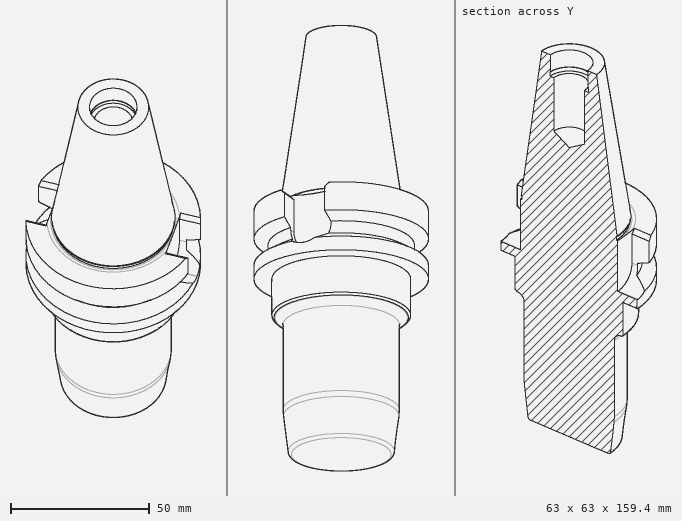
import cadquery as cq
import math

total_height = 159.4
taper_base_z = 94.0
flange_top_z = 93.0
upper_rim_base_z = 82.3
groove_top_z = 79.9
groove_base_z = 75.2
lower_rim_top_z = 72.2
flange_base_z = 67.0
collar_base_z = 52.3
nose_bend_z = 15.8

taper_top_dia = 25.5
taper_base_dia = 44.5
neck_dia = 43.8
relief_dia = 47.8
relief_floor_dia = 45.1
flange_dia = 63.0
groove_dia = 52.8
collar_dia = 50.0
nose_dia = 42.0
nose_end_dia = 38.1

relief_depth = 0.4
collar_edge = 0.8
collar_fillet = 2.9
nose_bend_half_length = 1.1
nose_edge_radius = 1.3

slot_width = 16.1
slot_base_z = 71.0
slot_floor_x = 22.5
slot_corner_radius = 8.0
slot_mouth_chamfer = 1.6

counterbore_dia = 17.0
undercut_start_depth = 7.3
undercut_dia = 17.4
counterbore_depth = 9.1
bore_dia = 14.0
bore_depth = 31.9
drill_tip_angle = 118.0


def make_body():
    """Revolve the half section, listed from the nose end up to the taper."""
    nose_r = nose_dia / 2
    nose_end_r = nose_end_dia / 2
    collar_r = collar_dia / 2
    flange_r = flange_dia / 2
    cone_angle = math.atan2(nose_r - nose_end_r, nose_bend_z)
    bend_start = (
        nose_r - nose_bend_half_length * math.sin(cone_angle),
        nose_bend_z - nose_bend_half_length * math.cos(cone_angle),
    )
    bend_end = (nose_r, nose_bend_z + nose_bend_half_length)

    section = (
        cq.Workplane("XZ")
        .moveTo(0, 0)
        .lineTo(nose_end_r, 0)
        .lineTo(*bend_start)
        .tangentArcPoint(bend_end, relative=False)
        .lineTo(nose_r, collar_base_z - collar_fillet)
        .radiusArc((nose_r + collar_fillet, collar_base_z), collar_fillet)
        .lineTo(collar_r - collar_edge, collar_base_z)
        .lineTo(collar_r, collar_base_z + collar_edge)
        .lineTo(collar_r, flange_base_z)
        .lineTo(flange_r, flange_base_z)
        .lineTo(flange_r, lower_rim_top_z)
        .lineTo(groove_dia / 2, groove_base_z)
        .lineTo(groove_dia / 2, groove_top_z)
        .lineTo(flange_r, upper_rim_base_z)
        .lineTo(flange_r, flange_top_z)
        .lineTo(relief_dia / 2, flange_top_z)
        .lineTo(relief_floor_dia / 2, flange_top_z - relief_depth)
        .lineTo(neck_dia / 2, flange_top_z - relief_depth)
        .lineTo(neck_dia / 2, taper_base_z)
        .lineTo(taper_base_dia / 2, taper_base_z)
        .lineTo(taper_top_dia / 2, total_height)
        .lineTo(0, total_height)
        .close()
    )
    body = section.revolve(360, (0, 0, 0), (0, 1, 0))
    return body.faces("<Z").edges().fillet(nose_edge_radius)


def make_slot(side):
    """Slot cutter with a nearly semicircular end and a bevelled mouth; side is +1 or -1."""
    half_width = slot_width / 2
    mouth_half_width = half_width + slot_mouth_chamfer
    round_centre_z = slot_base_z + slot_corner_radius
    flat_half_width = half_width - slot_corner_radius
    profile = (
        cq.Workplane("YZ", origin=(side * slot_floor_x, 0, 0))
        .moveTo(-half_width, round_centre_z)
        .radiusArc((-flat_half_width, slot_base_z), -slot_corner_radius)
        .lineTo(flat_half_width, slot_base_z)
        .radiusArc((half_width, round_centre_z), -slot_corner_radius)
        .lineTo(half_width, flange_top_z - slot_mouth_chamfer)
        .lineTo(mouth_half_width, flange_top_z)
        .lineTo(mouth_half_width, taper_base_z)
        .lineTo(-mouth_half_width, taper_base_z)
        .lineTo(-mouth_half_width, flange_top_z)
        .lineTo(-half_width, flange_top_z - slot_mouth_chamfer)
        .close()
    )
    return profile.extrude(side * flange_dia / 2)


def make_bore():
    """Counterbore with an undercut, bore and conical drill tip, as one revolved cutter."""
    bore_r = bore_dia / 2
    bore_base_z = total_height - bore_depth
    tip_z = bore_base_z - bore_r / math.tan(math.radians(drill_tip_angle / 2))
    return (
        cq.Workplane("XZ")
        .moveTo(0, tip_z)
        .lineTo(bore_r, bore_base_z)
        .lineTo(bore_r, total_height - counterbore_depth)
        .lineTo(undercut_dia / 2, total_height - counterbore_depth)
        .lineTo(undercut_dia / 2, total_height - undercut_start_depth)
        .lineTo(counterbore_dia / 2, total_height - undercut_start_depth)
        .lineTo(counterbore_dia / 2, total_height)
        .lineTo(0, total_height)
        .close()
        .revolve(360, (0, 0, 0), (0, 1, 0))
    )


result = make_body().cut(make_bore())
for slot_side in (-1, 1):
    result = result.cut(make_slot(slot_side))